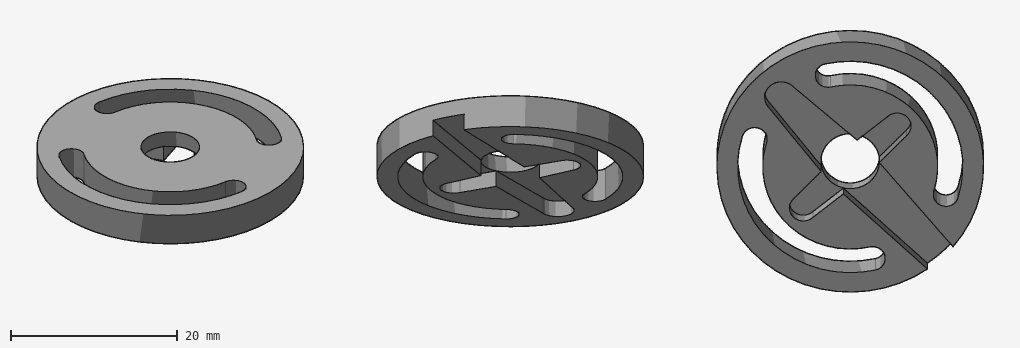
import cadquery as cq
import math

disc_diameter = 32.0
disc_thickness = 4.0
bore_diameter = 7.0

slot_mid_radius = 12.0
slot_width = 3.0
slot_end_angle = 30.0

recess_depth = disc_thickness / 2
corner_x = 1.95
corner_y = 2.95

open_arm_half_width = 2.08

long_tip_radius = 2.0
long_tip_centre = 12.15
short_tip_radius = 1.65
short_tip_centre = 7.68


def polar_point(radius, angle):
    """XY point at a radius and an angle in degrees."""
    return (
        radius * math.cos(math.radians(angle)),
        radius * math.sin(math.radians(angle)),
    )


def make_curved_slot():
    """Cutter for the round-ended slot on the +Y side."""
    outer_radius = slot_mid_radius + slot_width / 2
    inner_radius = slot_mid_radius - slot_width / 2
    start_angle = slot_end_angle
    end_angle = 180 - slot_end_angle
    cap_centre_x, cap_centre_y = polar_point(slot_mid_radius, start_angle)
    bulge_x, bulge_y = polar_point(slot_width / 2, start_angle - 90)
    cap_x = cap_centre_x + bulge_x
    cap_y = cap_centre_y + bulge_y
    return (
        cq.Workplane("XY")
        .moveTo(*polar_point(outer_radius, start_angle))
        .threePointArc((0, outer_radius), polar_point(outer_radius, end_angle))
        .threePointArc((-cap_x, cap_y), polar_point(inner_radius, end_angle))
        .threePointArc((0, inner_radius), polar_point(inner_radius, start_angle))
        .threePointArc((cap_x, cap_y), polar_point(outer_radius, start_angle))
        .close()
        .extrude(disc_thickness)
    )


def make_recess():
    """Cutter for the cross-shaped recess, traced counterclockwise from the -X arm."""
    open_x = -disc_diameter / 2
    long_tip_end = long_tip_centre + long_tip_radius
    short_tip_end = short_tip_centre + short_tip_radius
    return (
        cq.Workplane("XY")
        .moveTo(open_x, -open_arm_half_width)
        .lineTo(-corner_x, -corner_y)
        .lineTo(-short_tip_radius, -short_tip_centre)
        .threePointArc((0, -short_tip_end), (short_tip_radius, -short_tip_centre))
        .lineTo(corner_x, -corner_y)
        .lineTo(long_tip_centre, -long_tip_radius)
        .threePointArc((long_tip_end, 0), (long_tip_centre, long_tip_radius))
        .lineTo(corner_x, corner_y)
        .lineTo(short_tip_radius, short_tip_centre)
        .threePointArc((0, short_tip_end), (-short_tip_radius, short_tip_centre))
        .lineTo(-corner_x, corner_y)
        .lineTo(open_x, open_arm_half_width)
        .close()
        .extrude(recess_depth)
    )


disc = (
    cq.Workplane("XY")
    .circle(disc_diameter / 2)
    .circle(bore_diameter / 2)
    .extrude(disc_thickness)
)
slot = make_curved_slot()
result = disc.cut(slot).cut(slot.mirror("XZ")).cut(make_recess())